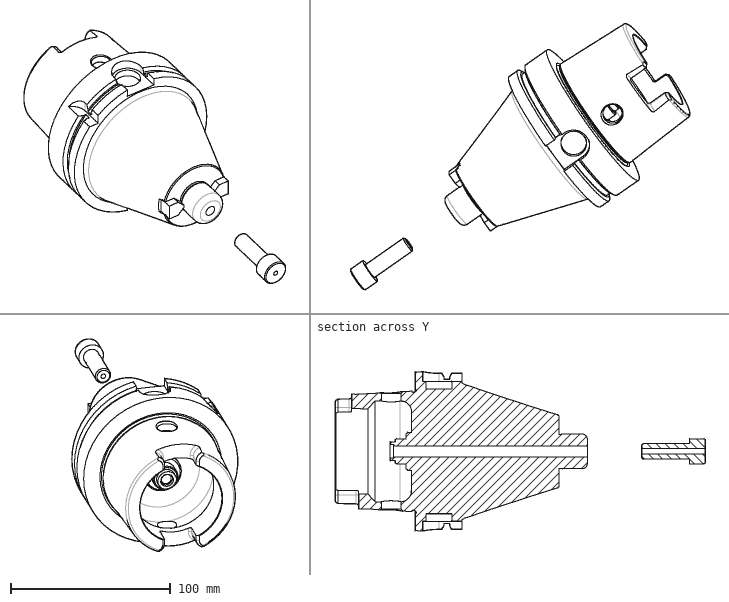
import cadquery as cq
import math


shank_length = 50.0
shank_root_radius = 75.8 / 2
taper_slope = 0.05
relief_length = 2.0
relief_chamfer_end_x = -1.5
relief_bottom_x = -0.7
relief_radius = 37.0
face_recess_depth = 0.7
face_recess_middle_radius = 38.3
face_recess_outer_radius = 39.5
shank_tip_radius = shank_root_radius - taper_slope * (shank_length - relief_length)
shank_tip_round = 1.5

bore_radius = 53.0 / 2
bore_mouth_radius = 53.8 / 2
bore_end_x = -29.7
chamber_radius = 63.0 / 2
chamber_cone_length = 4.6
cavity_floor_x = -2.3
cavity_floor_radius = 49.0 / 2
floor_round = chamber_radius - cavity_floor_radius

stub_base_radius = 24.0 / 2
stub_base_top_radius = 22.0 / 2
stub_base_x = -5.8
stub_radius = 16.0 / 2
stub_shoulder_radius = 14.5 / 2
stub_tip_radius = 12.0 / 2
stub_tip_x = -15.8
stub_tip_length = 3.2
coolant_radius = 6.5 / 2
coolant_mouth_radius = 8.0 / 2
coolant_mouth_depth = 2.3

drive_slot_half_width = 10.2
drive_slot_upper_depth = 10.2
drive_slot_lower_depth = 14.5
drive_lug_round = 5.8
drive_lug_round_start_z = 27.4
drive_slot_corner_round = 1.6
drive_slot_mouth_chamfer = 1.6

cross_hole_x = -15.0
cross_hole_radius = 12.0 / 2
cross_hole_rim_radius = 14.4 / 2

flange_radius = 100.0 / 2
flange_width = 29.5
groove_left_x = 16.7
groove_right_x = 22.7
groove_floor_left_x = 18.0
groove_floor_right_x = 21.5
groove_shoulder_drop = 2.3
groove_floor_radius = 46.4

cutter_radius = 10.0
cutter_end_x = 14.8
key_slot_floor_z = 43.8
key_hole_radius = 16.0 / 2
key_hole_depth = 4.6
notch_wall = 32.0

cone_root_radius = 43.1
cone_fillet_length = 3.5
cone_fillet_sag = 0.2
cone_start_radius = 41.5
cone_end_radius = 23.0
cone_end_x = 90.2
cone_end_chamfer = 0.7
neck_radius = 21.5 / 2
pilot_radius = 22.0 / 2
neck_end_x = 91.5
pilot_start_x = 92.3
pilot_end_x = 108.0
pilot_round = 3.5
key_width = 10.5
key_start_x = 85.8
key_end_x = 95.0
key_outer_y = 22.3
key_shoulder_y = 15.5

screw_end_x = 181.8
screw_head_length = 10.0
screw_shank_length = 30.0
screw_head_radius = 16.0 / 2
screw_head_chamfer = 0.7
screw_shank_radius = 10.0 / 2
screw_tip_chamfer = 1.0
screw_bore_radius = 3.0 / 2

clearance = 2.3


def revolve_about_x(profile):
    """Revolve a closed (x, radius) profile about the X axis."""
    return profile.close().revolve(360, (0, 0, 0), (1, 0, 0))


def x_cylinder(radius, start_x, end_x):
    return cq.Workplane("YZ", origin=(start_x, 0, 0)).circle(radius).extrude(end_x - start_x)


def make_outer_body():
    cone_start_x = flange_width + cone_fillet_length
    fillet_middle = (
        flange_width + cone_fillet_length / 2 - cone_fillet_sag,
        (cone_root_radius + cone_start_radius) / 2 - cone_fillet_sag,
    )
    profile = (
        cq.Workplane("XY")
        .moveTo(-shank_length, 0)
        .lineTo(-shank_length, shank_tip_radius)
        .lineTo(-relief_length, shank_root_radius)
        .lineTo(relief_chamfer_end_x, relief_radius)
        .lineTo(relief_bottom_x, relief_radius)
        .lineTo(face_recess_depth, face_recess_middle_radius)
        .lineTo(0, face_recess_outer_radius)
        .lineTo(0, flange_radius)
        .lineTo(groove_left_x, flange_radius)
        .lineTo(groove_floor_left_x, flange_radius - groove_shoulder_drop)
        .lineTo(groove_floor_left_x, groove_floor_radius)
        .lineTo(groove_floor_right_x, groove_floor_radius)
        .lineTo(groove_floor_right_x, flange_radius - groove_shoulder_drop)
        .lineTo(groove_right_x, flange_radius)
        .lineTo(flange_width, flange_radius)
        .lineTo(flange_width, cone_root_radius)
        .threePointArc(fillet_middle, (cone_start_x, cone_start_radius))
        .lineTo(cone_end_x - cone_end_chamfer, cone_end_radius)
        .lineTo(cone_end_x, cone_end_radius - cone_end_chamfer)
        .lineTo(cone_end_x, neck_radius)
        .lineTo(neck_end_x, neck_radius)
        .lineTo(pilot_start_x, pilot_radius)
        .lineTo(pilot_end_x, pilot_radius)
        .lineTo(pilot_end_x, 0)
    )
    body = revolve_about_x(profile)
    body = body.faces(">X").edges().fillet(pilot_round)
    return body.faces("<X").edges().fillet(shank_tip_round)


def make_cavity():
    """Bore, wider chamber with a rounded floor, and the stub left standing in it."""
    mouth_chamfer = bore_mouth_radius - bore_radius
    round_offset = floor_round * math.sin(math.radians(45))
    round_middle = (
        cavity_floor_x - floor_round + round_offset,
        chamber_radius - floor_round + round_offset,
    )
    stub_shoulder_x = stub_tip_x + stub_tip_length
    stub_shoulder_chamfer = stub_radius - stub_shoulder_radius
    stub_base_chamfer = stub_base_radius - stub_base_top_radius
    profile = (
        cq.Workplane("XY")
        .moveTo(-shank_length, 0)
        .lineTo(-shank_length, bore_mouth_radius)
        .lineTo(mouth_chamfer - shank_length, bore_radius)
        .lineTo(bore_end_x, bore_radius)
        .lineTo(bore_end_x + chamber_cone_length, chamber_radius)
        .lineTo(cavity_floor_x - floor_round, chamber_radius)
        .threePointArc(round_middle, (cavity_floor_x, cavity_floor_radius))
        .lineTo(cavity_floor_x, stub_base_radius)
        .lineTo(stub_base_x + stub_base_chamfer, stub_base_radius)
        .lineTo(stub_base_x, stub_base_top_radius)
        .lineTo(stub_base_x, stub_radius)
        .lineTo(stub_shoulder_x + stub_shoulder_chamfer, stub_radius)
        .lineTo(stub_shoulder_x, stub_shoulder_radius)
        .lineTo(stub_shoulder_x, stub_tip_radius)
        .lineTo(stub_tip_x, stub_tip_radius)
        .lineTo(stub_tip_x, 0)
    )
    return revolve_about_x(profile)


def make_coolant_passage():
    """Through hole along the axis with a counterbored mouth in the stub."""
    passage = x_cylinder(coolant_radius, stub_tip_x, pilot_end_x)
    mouth = x_cylinder(coolant_mouth_radius, stub_tip_x, stub_tip_x + coolant_mouth_depth)
    return passage.union(mouth)


def drive_slot_outline(start_x, widening):
    """Slot cross-section toward +Z that curves outward over the rounded shoulders of the lugs."""
    half_width = drive_slot_half_width + widening
    shoulder_radius = drive_lug_round - widening
    flare_y = half_width + shoulder_radius
    flare_z = drive_lug_round_start_z + shoulder_radius
    round_offset = shoulder_radius * math.sin(math.radians(45))
    middle_y = flare_y - round_offset
    middle_z = drive_lug_round_start_z + round_offset
    return (
        cq.Workplane("YZ", origin=(start_x, 0, 0))
        .moveTo(-half_width, 0)
        .lineTo(-half_width, drive_lug_round_start_z)
        .threePointArc((-middle_y, middle_z), (-flare_y, flare_z))
        .lineTo(-flare_y, flange_radius)
        .lineTo(flare_y, flange_radius)
        .lineTo(flare_y, flare_z)
        .threePointArc((middle_y, middle_z), (half_width, drive_lug_round_start_z))
        .lineTo(half_width, 0)
        .close()
    )


def make_drive_slot(depth):
    """Slot at +Z with rounded corners along its floor and a chamfered mouth."""
    slot = drive_slot_outline(-shank_length, 0).extrude(depth)
    floor_edges = slot.faces(">X").edges("not (<Z or >Z)")
    slot = floor_edges.fillet(drive_slot_corner_round)
    mouth = drive_slot_outline(-shank_length, drive_slot_mouth_chamfer)
    mouth = mouth.extrude(drive_slot_mouth_chamfer, taper=45)
    return slot.union(mouth)


def cut_drive_slots(body):
    upper_slot = make_drive_slot(drive_slot_upper_depth)
    lower_slot = make_drive_slot(drive_slot_lower_depth).rotate((0, 0, 0), (1, 0, 0), 180)
    return body.cut(upper_slot).cut(lower_slot)


def make_cross_hole():
    """Radial hole through both walls, countersunk at both rims."""
    hole = cq.Workplane("XY", origin=(0, 0, bore_radius)).circle(cross_hole_radius)
    hole = hole.extrude(shank_root_radius - bore_radius)
    rim_z = shank_root_radius + taper_slope * (cross_hole_x + relief_length)
    sink_depth = cross_hole_rim_radius - cross_hole_radius
    profile = (
        cq.Workplane("XZ")
        .moveTo(0, rim_z - sink_depth)
        .lineTo(cross_hole_radius, rim_z - sink_depth)
        .lineTo(cross_hole_rim_radius, rim_z)
        .lineTo(cross_hole_rim_radius, rim_z + clearance)
        .lineTo(0, rim_z + clearance)
        .close()
    )
    sink = profile.revolve(360, (0, 0, 0), (0, 1, 0))
    hole = hole.union(sink).translate((cross_hole_x, 0, 0))
    return hole.union(hole.mirror("XY"))


def make_cutter_path(floor_z):
    """Straight milled path with a round end, open toward +X and above floor_z."""
    height = flange_radius + clearance - floor_z
    length = flange_width - cutter_end_x
    plane = cq.Workplane("XY", origin=(cutter_end_x, 0, floor_z))
    round_end = plane.circle(cutter_radius).extrude(height)
    straight = plane.box(length, 2 * cutter_radius, height, centered=(False, True, False))
    return round_end.union(straight)


def cut_flange(body):
    """Key slots with a round hole at +Z and -Z, and the notch between -Y and +Z."""
    key_slot = make_cutter_path(key_slot_floor_z)
    hole_plane = cq.Workplane("XY", origin=(cutter_end_x, 0, key_slot_floor_z))
    key_slot = key_slot.union(hole_plane.circle(key_hole_radius).extrude(-key_hole_depth))
    notch = make_cutter_path(notch_wall).translate((0, -notch_wall - cutter_radius, 0))
    for cutter in (key_slot, key_slot.mirror("XY"), notch):
        body = body.cut(cutter)
    return body


def add_drive_keys(body):
    """Two keys pointed toward the axis, with the cone cut back level with their outer faces."""
    plane = cq.Workplane("YZ", origin=(key_start_x, 0, 0))
    length = key_end_x - key_start_x
    key_tip_y = key_shoulder_y - key_width / 2
    for side in (-1, 1):
        relief = plane.center(side * (key_outer_y + cone_end_radius / 2), 0)
        body = body.cut(relief.rect(cone_end_radius, key_width).extrude(length))
        key = (
            plane.moveTo(side * key_outer_y, -key_width / 2)
            .lineTo(side * key_shoulder_y, -key_width / 2)
            .lineTo(side * key_tip_y, 0)
            .lineTo(side * key_shoulder_y, key_width / 2)
            .lineTo(side * key_outer_y, key_width / 2)
            .close()
            .extrude(length)
        )
        body = body.union(key)
    return body


def make_holder():
    body = make_outer_body()
    body = cut_drive_slots(body)
    body = body.cut(make_cavity())
    body = body.cut(make_cross_hole())
    body = cut_flange(body)
    body = add_drive_keys(body)
    return body.cut(make_coolant_passage())


def make_screw():
    head_start_x = screw_end_x - screw_head_length
    tip_x = head_start_x - screw_shank_length
    head = x_cylinder(screw_head_radius, head_start_x, screw_end_x)
    head = head.faces(">X").edges().chamfer(screw_head_chamfer)
    shank = x_cylinder(screw_shank_radius, tip_x, head_start_x)
    shank = shank.faces("<X").edges().chamfer(screw_tip_chamfer)
    return head.union(shank).cut(x_cylinder(screw_bore_radius, tip_x, screw_end_x))


holder = make_holder()
screw = make_screw()
result = cq.Compound.makeCompound([holder.val(), screw.val()])